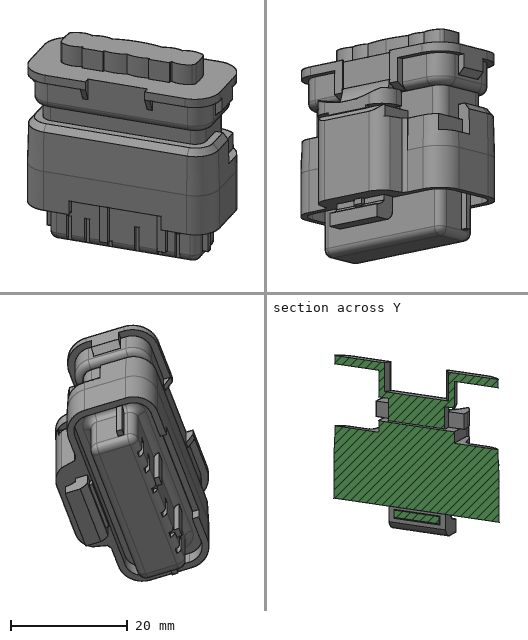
import cadquery as cq
import math


CORE_BOTTOM = 0.0
RIB_BOTTOM = 1.57
SHELL_BOTTOM = 7.2
CAVITY_TOP = 10.35
TAPER_START = 14.6
REAR_SHELF_TOP = 20.25
TAPER_END = 21.9
SHELL_TOP = 23.05
SEAL_BOTTOM = 25.88
FLANGE_BOTTOM = 31.25
FLANGE_TOP = 32.82
WIRE_BLOCK_TOP = 36.55

SHELL_HALF_X, SHELL_HALF_Y = 17.55, 8.08
SHELL_RADIUS = 4.35
FLANGE_RADIUS = 4.65
SEAL_HALF_X, SEAL_HALF_Y = 16.35, 6.85
SEAL_RADIUS = 3.45
SEAL_ROUND = 1.28
NECK_HALF_X, NECK_HALF_Y = 14.95, 5.4
NECK_RADIUS = 2.05
CORE_HALF_X, CORE_HALF_Y = 13.78, 4.25
CORE_RADIUS = 1.45
CORE_BOTTOM_ROUND = 1.43

TAPER_INSET = 0.22
TOP_CHAMFER_INSET = 1.0
WALL = 1.17
CAVITY_ROUND = 1.4
NOTCH_HALF_X = 8.5
NOTCH_TOP = 9.75
REAR_STEP_Y = 0.9
SIDE_RECESS_BOTTOM = 17.4
SIDE_RECESS_DEPTH = 1.7

FRONT_RIB_CENTERS = (-3.25, 7.4)
FRONT_RIB_WIDTH = 1.55
FRONT_RIB_HEIGHT = 0.9
SIDE_RIB_CENTER_Y = -1.65
SIDE_RIB_WIDTH = 1.02
SIDE_RIB_HEIGHT = 1.05
LONG_GROOVE_CENTERS = (-9.98, -6.65, 2.5, 9.98)
SHORT_GROOVE_CENTERS = (-2.5, 6.65)
GROOVE_WIDTH = 0.88
GROOVE_DEPTH = 0.75
LONG_GROOVE_TOP = 5.05

SLOT_HALF_X = 5.45
SLOT_FLARE_HALF_X = 6.32
FLARE_END_Y = 7.8
GUSSET_WIDTH = 0.95
GUSSET_HEIGHT = 2.35
SIDE_KEY_HALF_Y = 2.45
SIDE_KEY_SLOPE_END = 27.78
RAIL_HALF_X = 7.3
RAIL_BOTTOM_OUTER = 27.05

LATCH_BOTTOM = 22.48
BUTTON_TOP = 25.25
BUTTON_FRONT_Y = 8.45
BUTTON_HALF_X = 8.48
BUTTON_RADIUS = 3.35
TOTAL_DEPTH = 21.1
REAR_Y = TOTAL_DEPTH - SHELL_HALF_Y
ARM_TOP = 27.67
ARM_BACK_Y = 8.2
ARM_FOOT_Y = 8.8
ARM_CURVE_MID = (8.35, 26.43)
DISH_RADIUS = 21.93
DISH_DEPTH = 0.65
DISH_SLOPE = 9.8

LIP_HALF_X = 4.4
LIP_BOTTOM = 22.05
LIP_BOTTOM_Y, LIP_TOP_Y = 12.65, 12.2

HOUSING_TOP = 22.3
HOUSING_CHAMFER = 1.02
HOUSING_BLOCK_BACK_Y = 11.75


def box(x0, x1, y0, y1, z0, z1):
    return cq.Workplane("XY").box(x1 - x0, y1 - y0, z1 - z0, centered=False).translate((x0, y0, z0))


def rounded_prism(half_x, half_y, radius, z0, z1):
    return box(-half_x, half_x, -half_y, half_y, z0, z1).edges("|Z").fillet(radius)


def along_x(points, x0, x1):
    """Prism with a (y, z) polygon section between two X positions."""
    return cq.Workplane("YZ", origin=(x0, 0, 0)).polyline(points).close().extrude(x1 - x0)


def both_sides(solid):
    return solid.union(solid.mirror("YZ"))


def make_core():
    core = rounded_prism(CORE_HALF_X, CORE_HALF_Y, CORE_RADIUS, CORE_BOTTOM, TAPER_START)
    core = core.faces("<Z").edges().fillet(CORE_BOTTOM_ROUND)
    grooves = [(x, LONG_GROOVE_TOP) for x in LONG_GROOVE_CENTERS]
    grooves += [(x, RIB_BOTTOM) for x in SHORT_GROOVE_CENTERS]
    for x, top in grooves:
        core = core.cut(box(x - GROOVE_WIDTH / 2, x + GROOVE_WIDTH / 2,
                            -CORE_HALF_Y, GROOVE_DEPTH - CORE_HALF_Y, CORE_BOTTOM, top))
    for x in FRONT_RIB_CENTERS:
        core = core.union(box(x - FRONT_RIB_WIDTH / 2, x + FRONT_RIB_WIDTH / 2,
                              -CORE_HALF_Y - FRONT_RIB_HEIGHT, 0, RIB_BOTTOM, TAPER_START))
    side_rib_x = CORE_HALF_X + SIDE_RIB_HEIGHT
    return core.union(box(-side_rib_x, side_rib_x, SIDE_RIB_CENTER_Y - SIDE_RIB_WIDTH / 2,
                          SIDE_RIB_CENTER_Y + SIDE_RIB_WIDTH / 2, RIB_BOTTOM, TAPER_START))


def make_shell():
    taper_height = TAPER_END - TAPER_START
    chamfer_height = SHELL_TOP - TAPER_END
    shell = rounded_prism(SHELL_HALF_X, SHELL_HALF_Y, SHELL_RADIUS, SHELL_BOTTOM, TAPER_START)
    shell = shell.faces(">Z").wires().toPending().workplane().extrude(
        taper_height, taper=math.degrees(math.atan2(TAPER_INSET, taper_height)))
    shell = shell.faces(">Z").wires().toPending().workplane().extrude(
        chamfer_height, taper=math.degrees(math.atan2(TOP_CHAMFER_INSET, chamfer_height)))

    big_x, big_y = 2 * SHELL_HALF_X, 2 * SHELL_HALF_Y
    shell = shell.cut(box(-big_x, big_x, REAR_STEP_Y, big_y, REAR_SHELF_TOP, SHELL_TOP))
    recess = box(SHELL_HALF_X - SIDE_RECESS_DEPTH, big_x, REAR_STEP_Y, big_y,
                 SIDE_RECESS_BOTTOM, REAR_SHELF_TOP)
    shell = shell.cut(both_sides(recess))

    cavity = rounded_prism(SHELL_HALF_X - WALL, SHELL_HALF_Y - WALL, SHELL_RADIUS - WALL,
                           SHELL_BOTTOM, CAVITY_TOP)
    cavity = cavity.cut(rounded_prism(CORE_HALF_X, CORE_HALF_Y, CORE_RADIUS, SHELL_BOTTOM, CAVITY_TOP))
    reach_x, reach_y = CORE_HALF_X + WALL / 2, CORE_HALF_Y + WALL / 2
    root = cq.selectors.BoxSelector((-reach_x, -reach_y, CAVITY_TOP - WALL / 2),
                                    (reach_x, reach_y, CAVITY_TOP + WALL / 2), boundingbox=True)
    shell = shell.cut(cavity.edges(root).fillet(CAVITY_ROUND))
    return shell.cut(box(-NOTCH_HALF_X, NOTCH_HALF_X, -SHELL_HALF_Y, WALL - SHELL_HALF_Y,
                         SHELL_BOTTOM, NOTCH_TOP))


def make_flange():
    flange = rounded_prism(SHELL_HALF_X, SHELL_HALF_Y, FLANGE_RADIUS, FLANGE_BOTTOM, FLANGE_TOP)
    gusset_top, gusset_tip = FLANGE_BOTTOM, FLANGE_BOTTOM - GUSSET_HEIGHT
    gusset = along_x([(-SEAL_HALF_Y, gusset_top), (-SHELL_HALF_Y, gusset_top), (-SEAL_HALF_Y, gusset_tip)],
                     SLOT_HALF_X, SLOT_HALF_X + GUSSET_WIDTH)
    side_key = (cq.Workplane("XZ", origin=(0, SIDE_KEY_HALF_Y, 0))
                .polyline([(NECK_HALF_X, FLANGE_BOTTOM), (SHELL_HALF_X, FLANGE_BOTTOM),
                           (SHELL_HALF_X, gusset_tip), (SEAL_HALF_X, SIDE_KEY_SLOPE_END),
                           (NECK_HALF_X, SIDE_KEY_SLOPE_END)])
                .close().extrude(2 * SIDE_KEY_HALF_Y))
    rail = along_x([(NECK_HALF_Y, FLANGE_BOTTOM), (SHELL_HALF_Y, FLANGE_BOTTOM),
                    (SHELL_HALF_Y, RAIL_BOTTOM_OUTER), (NECK_HALF_Y + SEAL_ROUND / 2, SEAL_BOTTOM),
                    (NECK_HALF_Y, SEAL_BOTTOM)], SLOT_HALF_X, RAIL_HALF_X)
    flange = flange.union(both_sides(gusset.union(side_key).union(rail)))

    flange = flange.cut(box(-SLOT_HALF_X, SLOT_HALF_X, -SHELL_HALF_Y, -SEAL_HALF_Y,
                            FLANGE_BOTTOM, FLANGE_TOP))
    dovetail = (cq.Workplane("XY", origin=(0, 0, ARM_TOP))
                .polyline([(-SLOT_FLARE_HALF_X, SEAL_HALF_Y), (SLOT_FLARE_HALF_X, SEAL_HALF_Y),
                           (SLOT_HALF_X, FLARE_END_Y), (SLOT_HALF_X, SHELL_HALF_Y),
                           (-SLOT_HALF_X, SHELL_HALF_Y), (-SLOT_HALF_X, FLARE_END_Y)])
                .close().extrude(FLANGE_TOP - ARM_TOP))
    return flange.cut(dovetail)


def make_seal_body():
    seal = rounded_prism(SEAL_HALF_X, SEAL_HALF_Y, SEAL_RADIUS, SEAL_BOTTOM, FLANGE_TOP)
    seal = seal.faces("<Z").edges().fillet(SEAL_ROUND)
    return seal.union(rounded_prism(NECK_HALF_X, NECK_HALF_Y, NECK_RADIUS, CAVITY_TOP, SEAL_BOTTOM))


def make_wire_block():
    """Lobed block on top of the flange."""
    cusp_y = 2.45
    lobe_y = 2.85
    pad_y = 3.0
    outer_cusp_x = 8.25
    inner_cusp_x = 4.68
    pad_outer_x, pad_inner_x = 8.05, 4.2
    corner_x, corner_y = 11.9, 2.35
    end_x, end_arc_x, end_arc_y = 12.5, 12.4, 1.68
    lobe_mid_x = (corner_x + outer_cusp_x) / 2
    pad_root_y = 2.6
    front_lobe_x = pad_inner_x / 2
    corner_mid_x, corner_mid_y = 12.25, 2.1
    crown_y, crown_side_y = 3.05, 2.9
    half = (cq.Workplane("XY", origin=(0, 0, FLANGE_TOP)).moveTo(0, 0).lineTo(0, -cusp_y)
            .threePointArc((front_lobe_x, -lobe_y), (pad_inner_x, -pad_root_y))
            .lineTo(pad_inner_x, -pad_y).lineTo(pad_outer_x, -pad_y).lineTo(pad_outer_x, -pad_root_y)
            .lineTo(outer_cusp_x, -cusp_y)
            .threePointArc((lobe_mid_x, -lobe_y), (corner_x, -corner_y))
            .threePointArc((corner_mid_x, -corner_mid_y), (end_arc_x, -end_arc_y))
            .threePointArc((end_x, 0), (end_arc_x, end_arc_y))
            .threePointArc((corner_mid_x, corner_mid_y), (corner_x, corner_y))
            .threePointArc((lobe_mid_x, lobe_y), (outer_cusp_x, cusp_y))
            .threePointArc(((outer_cusp_x + inner_cusp_x) / 2, lobe_y), (inner_cusp_x, cusp_y))
            .threePointArc((inner_cusp_x / 2, crown_side_y), (0, crown_y))
            .close().extrude(WIRE_BLOCK_TOP - FLANGE_TOP))
    return both_sides(half)


def make_latch():
    """Spring arm behind the neck with a dished thumb button."""
    arm = (cq.Workplane("YZ", origin=(-SLOT_HALF_X, 0, 0))
           .moveTo(0, LATCH_BOTTOM).lineTo(ARM_FOOT_Y, LATCH_BOTTOM).lineTo(ARM_FOOT_Y, BUTTON_TOP)
           .threePointArc(ARM_CURVE_MID, (ARM_BACK_Y, ARM_TOP))
           .lineTo(0, ARM_TOP).close().extrude(2 * SLOT_HALF_X))
    button = box(-BUTTON_HALF_X, BUTTON_HALF_X, BUTTON_FRONT_Y, REAR_Y, LATCH_BOTTOM, BUTTON_TOP)
    button = button.edges("|Z and >Y").fillet(BUTTON_RADIUS)
    dish_length = 2 * REAR_Y
    dish = cq.Workplane("XZ").circle(DISH_RADIUS).extrude(-dish_length)
    dish = dish.rotate((0, 0, 0), (1, 0, 0), -DISH_SLOPE)
    lift = BUTTON_TOP - DISH_DEPTH + DISH_RADIUS / math.cos(math.radians(DISH_SLOPE))
    dish = dish.translate((0, ARM_FOOT_Y, lift))
    dish = dish.intersect(box(-BUTTON_HALF_X, BUTTON_HALF_X, ARM_FOOT_Y, REAR_Y, LATCH_BOTTOM, BUTTON_TOP))
    lip = along_x([(REAR_Y, LATCH_BOTTOM), (REAR_Y, LIP_BOTTOM), (LIP_BOTTOM_Y, LIP_BOTTOM),
                   (LIP_TOP_Y, LATCH_BOTTOM)], -LIP_HALF_X, LIP_HALF_X)
    return arm.union(button).cut(dish).union(lip)


def make_housing():
    """Tower behind the shell that guards the latch."""
    wing_x, wing_mid = 9.58, (9.15, 8.25)
    flank_front, flank_back = (8.77, 8.55), (8.2, 11.05)
    corner_mid = (7.3, 12.15)
    back_x = BUTTON_HALF_X - BUTTON_RADIUS
    root_y = SHELL_HALF_Y - WALL
    half = (cq.Workplane("XY", origin=(0, 0, SHELL_BOTTOM))
            .moveTo(0, root_y).lineTo(wing_x, root_y).lineTo(wing_x, SHELL_HALF_Y)
            .threePointArc(wing_mid, flank_front).lineTo(*flank_back)
            .threePointArc(corner_mid, (back_x, REAR_Y))
            .lineTo(0, REAR_Y).close().extrude(HOUSING_TOP - SHELL_BOTTOM))
    housing = both_sides(half)
    housing = housing.union(box(-RAIL_HALF_X, RAIL_HALF_X, 0, HOUSING_BLOCK_BACK_Y,
                                REAR_SHELF_TOP, HOUSING_TOP))
    shoulder = box(RAIL_HALF_X, 2 * RAIL_HALF_X, 0, HOUSING_BLOCK_BACK_Y, REAR_SHELF_TOP, HOUSING_TOP)
    housing = housing.cut(both_sides(shoulder))
    chamfer = along_x([(REAR_Y, HOUSING_TOP), (REAR_Y - HOUSING_CHAMFER, HOUSING_TOP),
                       (REAR_Y, HOUSING_TOP - HOUSING_CHAMFER)], -BUTTON_HALF_X, BUTTON_HALF_X)
    return housing.cut(chamfer)


def make_hook():
    """Hook hanging below the housing, with a bump in front and a small rib behind."""
    front_y, neck_y, toe_y = 7.3, 9.5, 11.33
    foot_z, toe_top, neck_z = 2.95, 5.3, 6.2
    heel_top, heel_mid, heel_y = 4.4, (7.85, 3.47), 8.63
    instep_mid = (10.35, 5.52)
    hook = (cq.Workplane("YZ", origin=(-SLOT_HALF_X, 0, 0))
            .moveTo(front_y, SHELL_BOTTOM).lineTo(front_y, heel_top)
            .threePointArc(heel_mid, (heel_y, foot_z))
            .lineTo(toe_y, foot_z).lineTo(toe_y, toe_top)
            .threePointArc(instep_mid, (neck_y, neck_z))
            .lineTo(neck_y, SHELL_BOTTOM).close().extrude(2 * SLOT_HALF_X))

    bump_half_x = 4.4
    bump_y, bump_top, bump_edge_z, bump_bottom = 6.8, 6.73, 5.6, 5.1
    bump = along_x([(front_y, bump_top), (bump_y, bump_top), (bump_y, bump_edge_z),
                    (front_y, bump_bottom)], -bump_half_x, bump_half_x)

    rib_y, rib_tip, rib_half_x = 10.15, (9.95, 5.95), 0.88
    rear_rib = along_x([(neck_y, SHELL_BOTTOM), (rib_y, SHELL_BOTTOM), (rib_y, neck_z), rib_tip,
                        (neck_y, neck_z)], -rib_half_x, rib_half_x)
    return hook.union(bump).union(rear_rib)


result = make_shell()
for piece in (make_core(), make_seal_body(), make_flange(), make_wire_block(),
              make_latch(), make_housing(), make_hook()):
    result = result.union(piece)